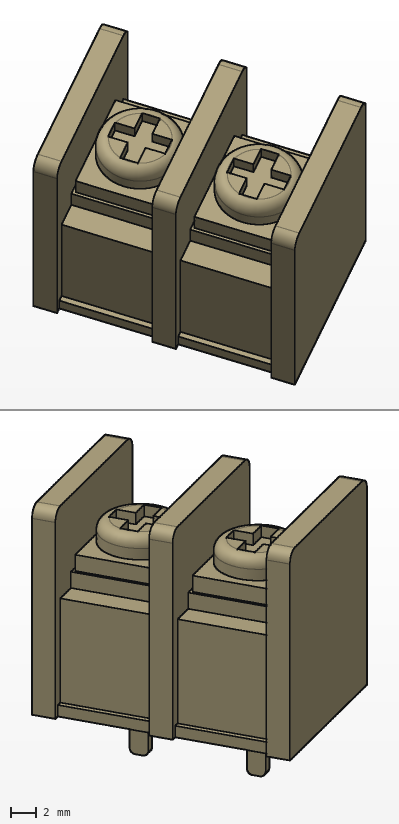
import cadquery as cq

terminal_count = 2
pitch = 10.0

wall_thickness = 2.0
wall_depth = 15.5
wall_height = 18.0
wall_corner_radius = 1.0

foot_depth, foot_top = 14.5, 1.0
body_depth, body_top = 13.5, 10.0
shoulder_depth, shoulder_top = 9.25, 11.4

plate_width = 7.5
plate_depth = 8.7
plate_top = 12.8

head_diameter = 7.0
head_height = 2.0
head_edge_radius = 1.0
head_top = plate_top + head_height
recess_length = 4.8
recess_arm_width = 1.5
recess_depth = 1.0

pin_width = 1.6
pin_thickness = 0.8
pin_length = 5.5
pin_corner_radius = 0.5

row_length = terminal_count * pitch
wall_positions = [i * pitch - row_length / 2 for i in range(terminal_count + 1)]
terminal_positions = [x + pitch / 2 for x in wall_positions[:-1]]


def block(length, depth, bottom, top, x=0.0):
    """Box centred on Y = 0 and on the given X, between two heights."""
    height = top - bottom
    base_plane = cq.Workplane("XY", origin=(x, 0, bottom))
    return base_plane.box(length, depth, height, centered=(True, True, False))


def make_housing():
    """Stepped housing running the full length of the row."""
    foot = block(row_length, foot_depth, 0, foot_top)
    body = block(row_length, body_depth, foot_top, body_top)
    shoulder = block(row_length, shoulder_depth, body_top, shoulder_top)
    return foot.union(body).union(shoulder)


def make_wall(x):
    """Barrier wall with rounded upper corners."""
    wall = block(wall_thickness, wall_depth, 0, wall_height, x)
    return wall.faces(">Z").edges("|X").fillet(wall_corner_radius)


def make_screw_head(x):
    """Round-edged screw head with a cross recess in its top."""
    head = cq.Workplane("XY", origin=(x, 0, plate_top)).circle(head_diameter / 2).extrude(head_height)
    head = head.faces(">Z").edges().fillet(head_edge_radius)
    recess_floor = head_top - recess_depth
    arm_along_x = block(recess_length, recess_arm_width, recess_floor, head_top, x)
    arm_along_y = block(recess_arm_width, recess_length, recess_floor, head_top, x)
    return head.cut(arm_along_x).cut(arm_along_y)


def make_pin(x):
    """Flat solder pin with rounded tip corners."""
    pin = block(pin_width, pin_thickness, -pin_length, 0, x)
    return pin.faces("<Z").edges("|Y").fillet(pin_corner_radius)


def make_clamp(x):
    """Clamp plate and screw head of one terminal."""
    plate = block(plate_width, plate_depth, shoulder_top, plate_top, x)
    return plate.union(make_screw_head(x))


result = make_housing()
for wall_x in wall_positions:
    result = result.union(make_wall(wall_x))
for terminal_x in terminal_positions:
    result = result.union(make_clamp(terminal_x))
    result = result.union(make_pin(terminal_x))